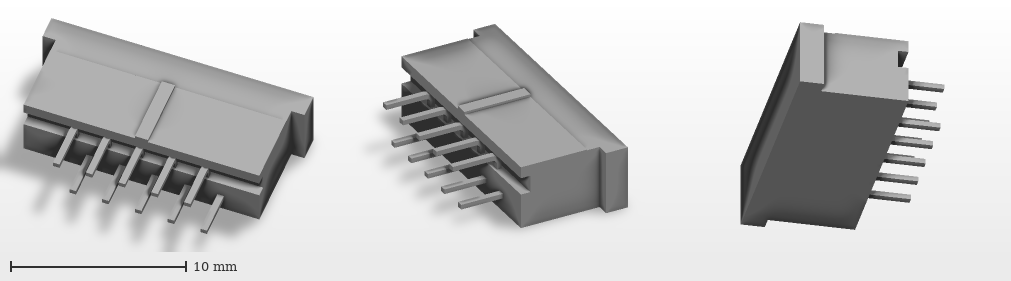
import cadquery as cq

flange_length = 16.0
flange_depth = 1.4
ledge = 0.8
body_length = flange_length - 2 * ledge
body_depth = 6.5
back_height = 3.95

pad_start = 2.2
pad_height = 4.0
key_width = 0.8
key_height = 4.2

groove_depth = 0.6
groove_bottom = 2.2
groove_top = 3.28

overall_depth = 9.2
pins_per_row = 5
pin_pitch = 2.0
stagger = pin_pitch / 2
upper_row_center = -0.16
lower_row_center = upper_row_center + stagger
pin_width = 0.4
pin_thickness = 0.3
lower_pin_bottom = 0.86
row_spacing = 1.98
upper_pin_bottom = lower_pin_bottom + row_spacing
leg_setback = 0.15
bend_inner_radius = 0.3
bend_outer_radius = bend_inner_radius + pin_thickness
pin_embed = 0.16

pin_face_y = -body_depth
pin_tip_y = -overall_depth


def block(length, y_back, y_front, z_bottom, z_top, x_center=0.0):
    """Box centred on x_center between the given Y and Z limits."""
    depth = y_back - y_front
    box = cq.Workplane("XY").box(length, depth, z_top - z_bottom, centered=(True, False, False))
    return box.translate((x_center, y_front, z_bottom))


def make_housing():
    housing = block(flange_length, 0, -flange_depth, 0, back_height)
    housing = housing.union(block(body_length, 0, pin_face_y, 0, back_height))
    housing = housing.union(block(body_length, -pad_start, pin_face_y, back_height, pad_height))
    housing = housing.union(block(key_width, -pad_start, pin_face_y, back_height, key_height))
    groove_back_y = pin_face_y + groove_depth
    return housing.cut(block(body_length, groove_back_y, pin_face_y, groove_bottom, groove_top))


def straight_pin(x_center):
    """Lower pin, straight out of the pin face."""
    pin_top = lower_pin_bottom + pin_thickness
    return block(pin_width, pin_face_y + pin_embed, pin_tip_y, lower_pin_bottom, pin_top, x_center)


def bent_pin(x_center):
    """Upper pin, rising from the groove floor and bending out toward -Y."""
    leg_front_y = pin_face_y + leg_setback
    leg_back_y = leg_front_y + pin_thickness
    bend_y = leg_front_y - bend_inner_radius
    bend_z = upper_pin_bottom - bend_inner_radius
    foot_z = groove_bottom - pin_embed
    pin_top = upper_pin_bottom + pin_thickness
    diagonal = 0.5 ** 0.5

    def bend_middle(radius):
        return (bend_y + radius * diagonal, bend_z + radius * diagonal)

    profile = (
        cq.Workplane("YZ")
        .moveTo(leg_front_y, foot_z)
        .lineTo(leg_back_y, foot_z)
        .lineTo(leg_back_y, bend_z)
        .threePointArc(bend_middle(bend_outer_radius), (bend_y, pin_top))
        .lineTo(pin_tip_y, pin_top)
        .lineTo(pin_tip_y, upper_pin_bottom)
        .lineTo(bend_y, upper_pin_bottom)
        .threePointArc(bend_middle(bend_inner_radius), (leg_front_y, bend_z))
        .close()
    )
    return profile.extrude(pin_width / 2, both=True).translate((x_center, 0, 0))


result = make_housing()
for index in range(pins_per_row):
    offset = (index - (pins_per_row - 1) / 2) * pin_pitch
    result = result.union(bent_pin(upper_row_center + offset))
    result = result.union(straight_pin(lower_row_center + offset))